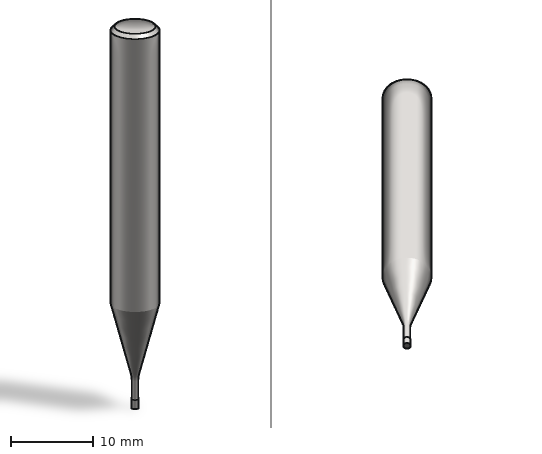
import cadquery as cq
import math

total_length = 50.0
shank_radius = 3.0
shank_chamfer = 0.5

head_radius = 0.45
head_length = 1.2

neck_radius = 0.425
relief_length = 0.15
neck_top_z = 3.75

blend_height = 0.75
cone_half_angle = math.radians(15.0)
blend_radius = blend_height / math.sin(cone_half_angle)


def blend_point(angle):
    """Point on the shoulder arc where its slope from the axis is the given angle."""
    radius = neck_radius + blend_radius * (1 - math.cos(angle))
    height = neck_top_z + blend_radius * math.sin(angle)
    return radius, height


def make_cutting_head():
    """Plain cylindrical envelope of the cutting edges."""
    return cq.Workplane("XY").circle(head_radius).extrude(head_length)


def make_shank():
    """Revolved shank with relief, neck, blended cone and chamfered end."""
    cone_start_radius, cone_start_z = blend_point(cone_half_angle)
    cone_end_z = cone_start_z + (shank_radius - cone_start_radius) / math.tan(cone_half_angle)
    return (
        cq.Workplane("XZ")
        .moveTo(0, head_length)
        .lineTo(head_radius, head_length)
        .lineTo(neck_radius, head_length + relief_length)
        .lineTo(neck_radius, neck_top_z)
        .threePointArc(blend_point(cone_half_angle / 2), (cone_start_radius, cone_start_z))
        .lineTo(shank_radius, cone_end_z)
        .lineTo(shank_radius, total_length - shank_chamfer)
        .lineTo(shank_radius - shank_chamfer, total_length)
        .lineTo(0, total_length)
        .close()
        .revolve(360, (0, 0, 0), (0, 1, 0))
    )


cutting_head = make_cutting_head()
shank = make_shank()

result = cq.Compound.makeCompound([cutting_head.val(), shank.val()])